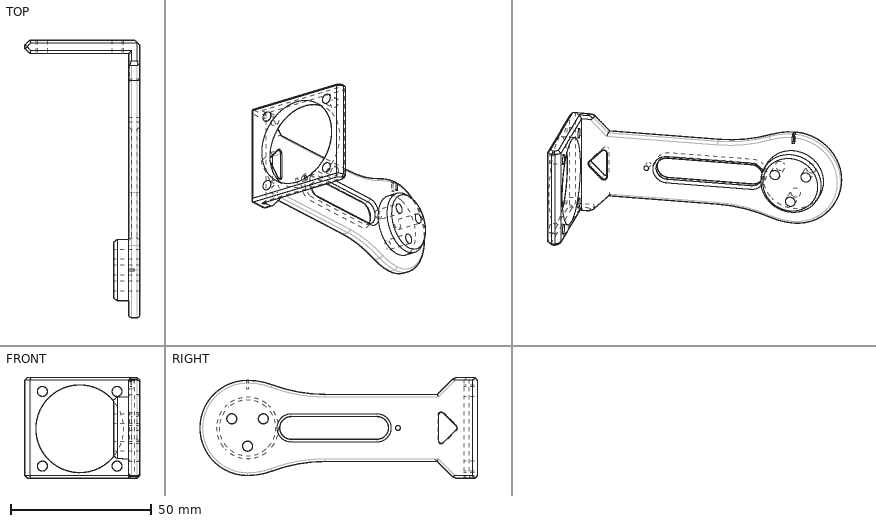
import cadquery as cq
import math

WIDTH_X = 41.0
LENGTH_Y = 99.0
HEIGHT_Z = 36.0
FLANGE_THICKNESS = 4.8
ARM_THICKNESS = 4.0
UPRIGHT_CHAMFER = 1.8
RIM_CHAMFER = 1.0

ARM_HALF_WIDTH = 12.0
DISC_RADIUS = 17.0
FLARE_START = 54.4
FLARE_DISC_SIDE_RADIUS = 25.0
ARM_EDGE_FILLET = 1.0
EAR_CORNER = 8.4
EAR_CORNER_CUT = 0.9

PATCH_TOP_Z = -10.0
PATCH_THICKNESS = ARM_THICKNESS / 2

FLANGE_HOLE_X = 19.6
FLANGE_HOLE_Z = -0.3
BORE_DIAMETER = 31.2
SCREW_SPACING = 26.6
SCREW_DIAMETER = 3.5

BOSS_RADIUS = 11.0
BOSS_HEIGHT = 5.3
BOSS_CHAMFER_AXIAL = 1.3
BOSS_CHAMFER_RADIAL = 1.0
BOSS_HOLE_COUNT = 3
BOSS_HOLE_CIRCLE_RADIUS = 6.5

SLOT_START = 35.8
SLOT_END = 66.5
SLOT_RADIUS = 4.0
SLOT_CHAMFER = 1.0
PIN_DISTANCE = 28.4
PIN_DIAMETER = 1.7
WINDOW_TIP = 7.0
WINDOW_BASE = 13.9
WINDOW_FILLET = 1.0
WINDOW_CHAMFER = 0.3
NOTCH_WIDTH = 0.8
NOTCH_BOTTOM_Z = 13.8
NOTCH_DEPTH = 2.0

HALF_HEIGHT = HEIGHT_Z / 2
ARM_INNER_X = WIDTH_X - ARM_THICKNESS
DISC_DISTANCE = LENGTH_Y - DISC_RADIUS
EAR_SLOPE_SUM = EAR_CORNER + HALF_HEIGHT
OVERLAP = 1.0


def side_plane(x):
    """Sketch plane at the given X: local x is distance along the arm, local y is -Z, normal is +X."""
    return cq.Workplane(cq.Plane(origin=(x, 0, 0), xDir=(0, -1, 0), normal=(1, 0, 0)))


def l_block():
    """Full-height L with a pointed flange end, chamfered rims and a bevelled outer corner."""
    reach = LENGTH_Y + 2 * RIM_CHAMFER
    tip = UPRIGHT_CHAMFER
    profile = [
        (tip, 0),
        (WIDTH_X, 0),
        (WIDTH_X, -reach),
        (ARM_INNER_X, -reach),
        (ARM_INNER_X, -FLANGE_THICKNESS),
        (tip, -FLANGE_THICKNESS),
        (0, tip - FLANGE_THICKNESS),
        (0, -tip),
    ]
    base = cq.Workplane("XY", origin=(0, 0, -HALF_HEIGHT))
    block = base.polyline(profile).close().extrude(HEIGHT_Z).faces("|Z").edges().chamfer(RIM_CHAMFER)
    bevel = [(WIDTH_X - tip, 0), (WIDTH_X, 0), (WIDTH_X, -tip)]
    return block.cut(base.polyline(bevel).close().extrude(HEIGHT_Z))


def arm_plate():
    """Arm with 45 degree ears, flared disc end and rounded edges; the ears run on past the L block."""
    ear_foot = EAR_SLOPE_SUM - ARM_HALF_WIDTH
    run = DISC_DISTANCE - FLARE_START
    rise = DISC_RADIUS - ARM_HALF_WIDTH
    arm_side_share = 1 - FLARE_DISC_SIDE_RADIUS * 2 * rise / (run**2 + rise**2)
    meeting = (FLARE_START + run * arm_side_share, ARM_HALF_WIDTH + rise * arm_side_share)
    mirrored_meeting = (meeting[0], -meeting[1])
    outline = (
        side_plane(ARM_INNER_X)
        .moveTo(0, EAR_SLOPE_SUM)
        .lineTo(ear_foot, ARM_HALF_WIDTH)
        .lineTo(FLARE_START, ARM_HALF_WIDTH)
        .tangentArcPoint(meeting, relative=False)
        .tangentArcPoint((DISC_DISTANCE, DISC_RADIUS), relative=False)
        .threePointArc((LENGTH_Y, 0), (DISC_DISTANCE, -DISC_RADIUS))
        .tangentArcPoint(mirrored_meeting, relative=False)
        .tangentArcPoint((FLARE_START, -ARM_HALF_WIDTH), relative=False)
        .lineTo(ear_foot, -ARM_HALF_WIDTH)
        .lineTo(0, -EAR_SLOPE_SUM)
        .close()
    )
    return outline.extrude(ARM_THICKNESS).faces("|X").edges().fillet(ARM_EDGE_FILLET)


def bracket_body():
    """L block trimmed to the arm outline behind the flange."""
    flange_zone = cq.Workplane("XY").box(WIDTH_X, FLANGE_THICKNESS, HEIGHT_Z, centered=(False, False, True))
    flange_zone = flange_zone.translate((0, -FLANGE_THICKNESS, 0))
    return l_block().intersect(flange_zone.union(arm_plate()))


def lower_ear_patch():
    """Square-edged patch that fills the rounded inner edge of the lower ear."""
    patch_depth = -PATCH_TOP_Z
    return (
        side_plane(ARM_INNER_X)
        .moveTo(FLANGE_THICKNESS, patch_depth)
        .lineTo(EAR_SLOPE_SUM - patch_depth, patch_depth)
        .lineTo(EAR_CORNER, HALF_HEIGHT)
        .lineTo(FLANGE_THICKNESS, HALF_HEIGHT)
        .close()
        .extrude(PATCH_THICKNESS)
    )


def ear_corner_cutters():
    """Wedges that blunt the outer corner of both ears."""
    diagonal_step = EAR_CORNER_CUT * math.sqrt(0.5)
    start = (EAR_CORNER - EAR_CORNER_CUT, HALF_HEIGHT)
    end = (EAR_CORNER + diagonal_step, HALF_HEIGHT - diagonal_step)
    cutter = (
        side_plane(ARM_INNER_X)
        .polyline([start, end, (end[0], HALF_HEIGHT + OVERLAP), (start[0], HALF_HEIGHT + OVERLAP)])
        .close()
        .extrude(ARM_THICKNESS)
    )
    return cutter.union(cutter.mirror("XY"))


def flange_holes():
    """Large bore and four screw holes through the flange."""
    sketch = cq.Workplane("XZ", origin=(FLANGE_HOLE_X, 0, FLANGE_HOLE_Z))
    bore = sketch.circle(BORE_DIAMETER / 2).extrude(FLANGE_THICKNESS)
    screws = (
        sketch.rect(SCREW_SPACING, SCREW_SPACING, forConstruction=True)
        .vertices()
        .circle(SCREW_DIAMETER / 2)
        .extrude(FLANGE_THICKNESS)
    )
    return bore.union(screws)


def flared_cutter(profile, chamfer):
    """Through cutter from a profile function, widened by a 45 degree chamfer at the inner face."""
    straight = profile(0).extrude(ARM_THICKNESS)
    flare = profile(chamfer).extrude(chamfer, taper=45)
    return straight.union(flare)


def both_faces(cutter):
    """Cutter joined with its mirror image about the middle of the arm's thickness."""
    return cutter.union(cutter.mirror("YZ", (ARM_INNER_X + ARM_THICKNESS / 2, 0, 0)))


def slot_profile(growth):
    """Slot outline, enlarged by growth on every side."""
    radius = SLOT_RADIUS + growth
    length = SLOT_END - SLOT_START + 2 * radius
    middle = (SLOT_START + SLOT_END) / 2
    return side_plane(ARM_INNER_X).center(middle, 0).slot2D(length, 2 * radius)


def window_profile(growth):
    """Right-angled triangle with its tip toward the flange and round corners, enlarged by growth."""
    tip = WINDOW_TIP + WINDOW_FILLET * math.sqrt(2)
    base = WINDOW_BASE - WINDOW_FILLET
    corners = [(tip, 0), (base, base - tip), (base, tip - base)]
    return side_plane(ARM_INNER_X).polyline(corners).close().offset2D(WINDOW_FILLET + growth)


def pin_hole():
    return side_plane(ARM_INNER_X).center(PIN_DISTANCE, 0).circle(PIN_DIAMETER / 2).extrude(ARM_THICKNESS)


def index_notch():
    """Narrow radial notch in the inner face at the top of the disc."""
    notch_height = DISC_RADIUS - NOTCH_BOTTOM_Z + OVERLAP
    notch = cq.Workplane("XY").box(NOTCH_DEPTH, NOTCH_WIDTH, notch_height, centered=(False, True, False))
    return notch.translate((ARM_INNER_X, -DISC_DISTANCE, NOTCH_BOTTOM_Z))


def boss():
    """Round boss on the inner face of the disc, chamfered at its free end."""
    free_x = ARM_INNER_X - BOSS_HEIGHT
    half_section = [
        (free_x, 0),
        (free_x, BOSS_RADIUS - BOSS_CHAMFER_RADIAL),
        (free_x + BOSS_CHAMFER_AXIAL, BOSS_RADIUS),
        (ARM_INNER_X, BOSS_RADIUS),
        (ARM_INNER_X, 0),
    ]
    turned = cq.Workplane("XZ").polyline(half_section).close().revolve(360, (0, 0, 0), (1, 0, 0))
    return turned.translate((0, -DISC_DISTANCE, 0))


def boss_holes():
    """Ring of screw holes through boss and disc, the first one pointing to -Z."""
    return (
        side_plane(ARM_INNER_X - BOSS_HEIGHT)
        .center(DISC_DISTANCE, 0)
        .polarArray(BOSS_HOLE_CIRCLE_RADIUS, 90, 360, BOSS_HOLE_COUNT)
        .circle(SCREW_DIAMETER / 2)
        .extrude(BOSS_HEIGHT + ARM_THICKNESS)
    )


result = bracket_body().union(lower_ear_patch()).cut(ear_corner_cutters())
result = result.cut(flange_holes())
slot = both_faces(flared_cutter(slot_profile, SLOT_CHAMFER))
window = flared_cutter(window_profile, WINDOW_CHAMFER)
for cutter in (slot, window, pin_hole(), index_notch()):
    result = result.cut(cutter)
result = result.union(boss()).cut(boss_holes())